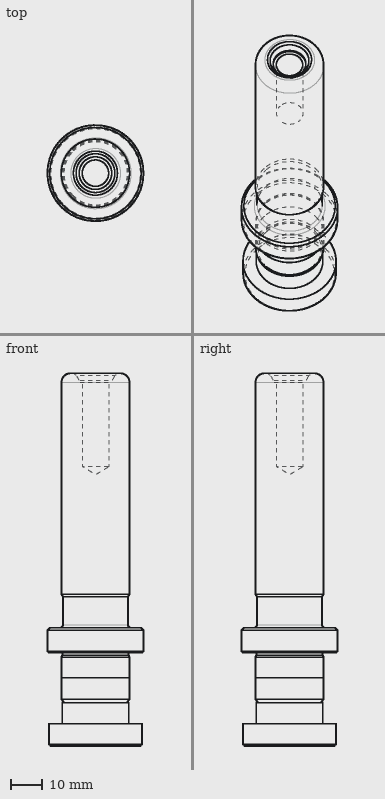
import cadquery as cq
import math

total_height = 120.0
plug_flange_height = 7.2
plug_height = 14.0

plug_flange_radius = 15.0
plug_boss_radius = 10.75
plug_chamfer = 0.6

shaft_radius = 11.0
lower_relief_radius = 10.7
neck_radius = 10.5
seat_radius = 11.0
spigot_radius = 10.98
spigot_top = 22.0
end_chamfer_height = 1.1
end_chamfer_width = 0.8
shaft_tip_round = 3.0

collar_radius = 15.5
collar_bottom = 30.0
collar_top = 38.1
collar_top_chamfer = 0.8
collar_bottom_chamfer = 0.6
seat_top = 28.6
lower_relief_bottom = 29.3
neck_fillet = 0.9
neck_top = 48.1
shaft_bottom = 48.8

mouth_radius = 7.1
mouth_depth = 0.6
cone_top_radius = 6.25
counterbore_radius = 5.25
cone_half_angle = 30.0
counterbore_depth = 2.9
bore_radius = 4.25
bore_depth = 30.0
drill_half_angle = 59.0

cone_length = (cone_top_radius - counterbore_radius) / math.tan(math.radians(cone_half_angle))
drill_point_length = bore_radius / math.tan(math.radians(drill_half_angle))

mouth_bottom = total_height - mouth_depth
cone_bottom = mouth_bottom - cone_length
counterbore_bottom = total_height - counterbore_depth
bore_bottom = total_height - bore_depth


def make_plug():
    """Chamfered flange with a boss on top."""
    plug = cq.Workplane("XY").circle(plug_flange_radius).extrude(plug_flange_height)
    plug = plug.faces("<Z").chamfer(plug_chamfer)
    boss_height = plug_height - plug_flange_height
    boss = (
        cq.Workplane("XY", origin=(0, 0, plug_flange_height))
        .circle(plug_boss_radius)
        .extrude(boss_height)
    )
    return plug.union(boss)


def make_pillar():
    """Turned pillar with a collar, relieved necks and a stepped blind centre hole."""
    body = (
        cq.Workplane("XZ")
        .moveTo(0, plug_height)
        .lineTo(spigot_radius - end_chamfer_width, plug_height)
        .lineTo(spigot_radius, plug_height + end_chamfer_height)
        .lineTo(spigot_radius, spigot_top)
        .lineTo(seat_radius, spigot_top)
        .lineTo(seat_radius, seat_top)
        .lineTo(lower_relief_radius, lower_relief_bottom)
        .lineTo(lower_relief_radius, collar_bottom)
        .lineTo(collar_radius - collar_bottom_chamfer, collar_bottom)
        .lineTo(collar_radius, collar_bottom + collar_bottom_chamfer)
        .lineTo(collar_radius, collar_top - collar_top_chamfer)
        .lineTo(collar_radius - collar_top_chamfer, collar_top)
        .lineTo(neck_radius + neck_fillet, collar_top)
        .radiusArc((neck_radius, collar_top + neck_fillet), neck_fillet)
        .lineTo(neck_radius, neck_top)
        .lineTo(shaft_radius, shaft_bottom)
        .lineTo(shaft_radius, total_height - shaft_tip_round)
        .radiusArc((shaft_radius - shaft_tip_round, total_height), -shaft_tip_round)
        .lineTo(0, total_height)
        .close()
        .revolve(360, (0, 0, 0), (0, 1, 0))
    )
    hole = (
        cq.Workplane("XZ")
        .moveTo(0, total_height)
        .lineTo(mouth_radius, total_height)
        .lineTo(cone_top_radius, mouth_bottom)
        .lineTo(counterbore_radius, cone_bottom)
        .lineTo(counterbore_radius, counterbore_bottom)
        .lineTo(bore_radius, counterbore_bottom)
        .lineTo(bore_radius, bore_bottom)
        .lineTo(0, bore_bottom - drill_point_length)
        .close()
        .revolve(360, (0, 0, 0), (0, 1, 0))
    )
    return body.cut(hole)


plug = make_plug()
pillar = make_pillar()
result = cq.Compound.makeCompound([plug.val(), pillar.val()])